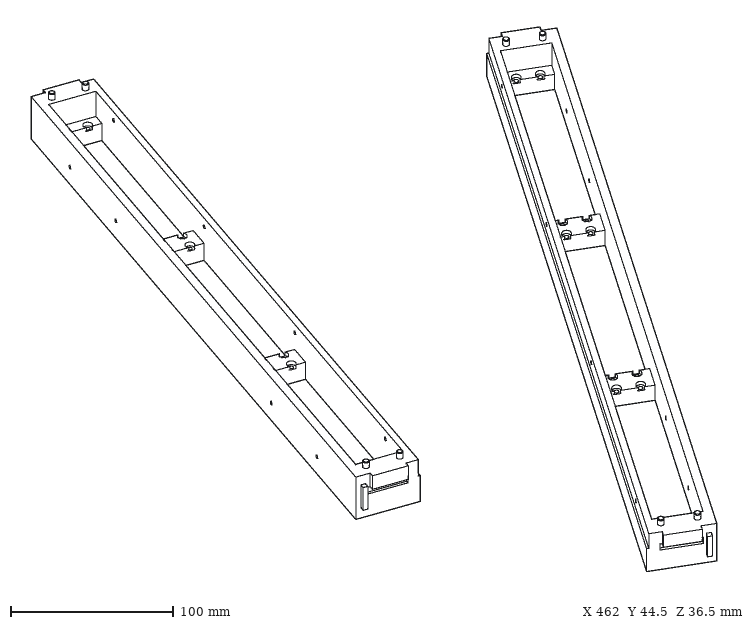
import cadquery as cq

overall_length = 462.0
end_projection = 3.2
frame_length = overall_length - 2 * end_projection
frame_width = 44.5
overall_height = 36.5
pin_rise = 4.5
frame_height = overall_height - pin_rise
middle_y = frame_width / 2

side_wall = 6.0
end_wall = 12.5
opening_length = frame_length - 2 * end_wall
opening_width = frame_width - 2 * side_wall
rebate_depth = 1.5
rebate_height = 12.5

bracket_height = 13.0
end_bracket_length = 8.5
middle_bracket_length = 15.3
middle_bracket_x = 71.0
bracket_hole_inset = 2.5
bracket_hole_spacing = 15.3
bracket_hole_diameter = 3.0
counterbore_diameter = 6.0
counterbore_depth = 3.0

wall_hole_diameter = 2.5
front_hole_xs = (-173.5, -109.0, 109.0, 173.5)
front_hole_z = 13.0
rear_hole_spacing = 127.0
rear_hole_count = 4
rear_hole_z = 25.5

pin_diameter = 4.0
pin_chamfer = 0.5
pin_spacing = 23.0
pin_end_distance = 7.5

tab_width = 24.5
tab_height = 10.0
pin_depth = tab_height
slot_width = pin_spacing + pin_diameter
slot_height = 5.0
slot_depth = 2.0
rib_width = 3.2
rib_height = 17.0
rib_y = 5.0
rib_drop = 7.0


def box(x_size, y_size, z_size, x, y, z_bottom):
    """Box centred on x and y and standing on z_bottom."""
    return (
        cq.Workplane("XY")
        .box(x_size, y_size, z_size, centered=(True, True, False))
        .translate((x, y, z_bottom))
    )


def rod(diameter, height, x, y, z_bottom):
    """Upright cylinder standing on z_bottom."""
    return cq.Workplane("XY").circle(diameter / 2).extrude(height).translate((x, y, z_bottom))


def wall_hole(x, z, y_start):
    """Cylinder along Y that passes through one long wall."""
    return (
        cq.Workplane("XZ")
        .circle(wall_hole_diameter / 2)
        .extrude(-side_wall)
        .translate((x, y_start, z))
    )


def make_walls():
    """Rectangular frame, open above and below, with a rebate along the top of the rear wall."""
    walls = box(frame_length, frame_width, frame_height, 0, middle_y, 0)
    walls = walls.cut(box(opening_length, opening_width, frame_height, 0, middle_y, 0))
    rebate_y = frame_width - rebate_depth / 2
    rebate_z = frame_height - rebate_height
    return walls.cut(box(frame_length, rebate_depth, rebate_height, 0, rebate_y, rebate_z))


def make_bracket(length, x, hole_xs):
    """Cross block between the long walls, with a pair of counterbored holes at each x in hole_xs.

    The counterbores break out through the nearest free face of the bracket.
    """
    counterbore_z = bracket_height - counterbore_depth
    bracket = box(length, opening_width, bracket_height, x, middle_y, 0)
    for hole_x in hole_xs:
        for side in (-1, 1):
            hole_y = middle_y + side * bracket_hole_spacing / 2
            bracket = bracket.cut(rod(bracket_hole_diameter, bracket_height, hole_x, hole_y, 0))
            bracket = bracket.cut(
                rod(counterbore_diameter, counterbore_depth, hole_x, hole_y, counterbore_z)
            )
    return bracket


def add_brackets(frame):
    """A bracket against each end wall and two more between them."""
    for side in (-1, 1):
        end_x = side * (opening_length - end_bracket_length) / 2
        end_hole_x = side * (opening_length / 2 - end_bracket_length + bracket_hole_inset)
        frame = frame.union(make_bracket(end_bracket_length, end_x, [end_hole_x]))
        middle_x = side * middle_bracket_x
        hole_offset = middle_bracket_length / 2 - bracket_hole_inset
        hole_xs = [middle_x - hole_offset, middle_x + hole_offset]
        frame = frame.union(make_bracket(middle_bracket_length, middle_x, hole_xs))
    return frame


def cut_wall_holes(frame):
    """Low holes in the front wall and high, evenly spaced holes in the rear wall."""
    for x in front_hole_xs:
        frame = frame.cut(wall_hole(x, front_hole_z, 0))
    for i in range(rear_hole_count):
        x = (i - (rear_hole_count - 1) / 2) * rear_hole_spacing
        frame = frame.cut(wall_hole(x, rear_hole_z, frame_width - side_wall))
    return frame


def shape_ends(frame):
    """Tab, rib and slot on each end face. The slot lies right under the tab."""
    tab_z = frame_height - tab_height
    rib_z = frame_height - rib_drop - rib_height
    for side in (-1, 1):
        projection_x = side * (frame_length + end_projection) / 2
        slot_x = side * (frame_length - slot_depth) / 2
        frame = frame.union(box(end_projection, tab_width, tab_height, projection_x, middle_y, tab_z))
        frame = frame.union(box(end_projection, rib_width, rib_height, projection_x, rib_y, rib_z))
        frame = frame.cut(box(slot_depth, slot_width, slot_height, slot_x, middle_y, tab_z - slot_height))
    return frame


def make_pin(x, y):
    """Round pin with a chamfered tip, set into the top of the frame."""
    pin = rod(pin_diameter, pin_depth + pin_rise, x, y, frame_height - pin_depth)
    return pin.faces(">Z").chamfer(pin_chamfer)


frame = make_walls()
frame = add_brackets(frame)
frame = cut_wall_holes(frame)
frame = shape_ends(frame)

pins = []
for x_side in (-1, 1):
    for y_side in (-1, 1):
        pin_x = x_side * (frame_length / 2 - pin_end_distance)
        pin_y = middle_y + y_side * pin_spacing / 2
        frame = frame.cut(rod(pin_diameter, pin_depth, pin_x, pin_y, frame_height - pin_depth))
        pins.append(make_pin(pin_x, pin_y))

result = cq.Compound.makeCompound([frame.val(), *[pin.val() for pin in pins]])